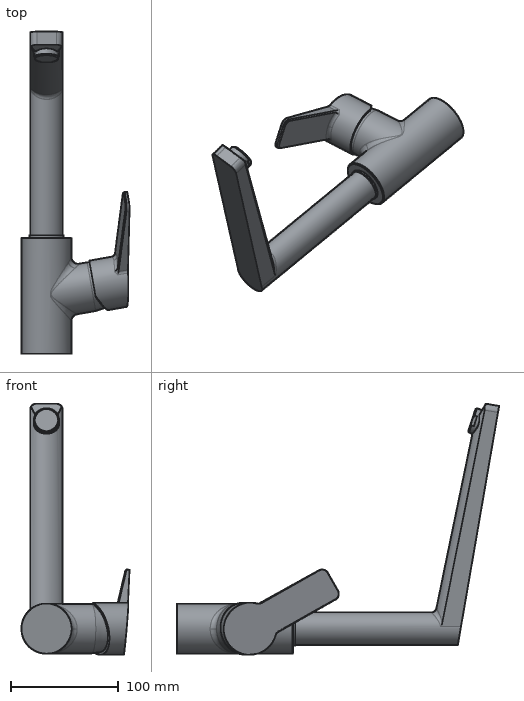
import cadquery as cq
import math

body_radius = 23.3
body_length = 107.8
body_edge_chamfer = 1.0

tube_radius = 15.2
arm_side_inset = 0.15
collar_radius = 15.8
collar_length = 2.0
arm_lean = 9.8
arm_tip_y = 298.7
arm_tip_z = 206.5
arm_side_base = 18.2
arm_side_tip = 12.5
crown_base = 8.5
crown_tip = 7.0
arm_corner_radius = 6.0
crown_bevel_slope = 1.7
bend_fillet = 4.5
arm_half_width = tube_radius - arm_side_inset

outlet_y = 273.3
outlet_z = 193.3
outlet_tilt = 18.0
outlet_radius = 12.0
outlet_length = 13.5
outlet_chamfer = 1.2
flat_height = 9.5
flat_length = 3.5

neck_y = 55.0
mixer_tilt = 10.0
neck_radius = 23.0
neck_fillet = 6.0
neck_end = 42.0
cap_start = 44.5
cap_end = 75.0
cap_radius = 24.2
rim_slope = 22.5
rim_hinge = 2.5
core_tip_radius = 20.5
core_end = 59.7

lever_roll = 30.0
cap_face_tilt = 10.0
lever_reach = 88.0
lever_width = 31.0
lever_tip_thickness = 3.5
lever_root_thickness = 11.5
lever_corner_radius = 6.0
lever_edge_chamfer = 1.2
lever_fillet = 3.5


def cylinder_along_y(radius, y_start, y_end):
    return cq.Workplane("XZ", origin=(0, y_start, 0)).circle(radius).extrude(y_start - y_end)


def make_body():
    return cylinder_along_y(body_radius, 0, body_length).faces(">Y").chamfer(body_edge_chamfer)


def arm_section(back_y, side_depth, crown_height):
    """Points of a section: the back edge, one front corner, the crown's midpoint, the other corner."""
    front_y = back_y - side_depth
    return (
        (arm_half_width, back_y),
        (-arm_half_width, back_y),
        (-arm_half_width, front_y),
        (0, front_y - crown_height),
        (arm_half_width, front_y),
    )


def make_spout():
    lean = math.tan(math.radians(arm_lean))
    overshoot = 6.0
    back_base_y = arm_tip_y - arm_tip_z * lean
    loft_height = arm_tip_z + overshoot

    tube = cylinder_along_y(tube_radius, body_length, arm_tip_y)
    back_trim = (
        cq.Workplane("YZ")
        .moveTo(back_base_y, 0)
        .lineTo(back_base_y - body_radius * lean, -body_radius)
        .lineTo(arm_tip_y + overshoot, -body_radius)
        .lineTo(arm_tip_y + overshoot, body_radius)
        .lineTo(back_base_y + body_radius * lean, body_radius)
        .close()
        .extrude(body_radius, both=True)
    )
    tube = tube.cut(back_trim)

    base = arm_section(back_base_y, arm_side_base, crown_base)
    tip = arm_section(back_base_y + loft_height * lean, arm_side_tip, crown_tip)
    arm = cq.Workplane("XY").polyline(base[:3]).threePointArc(base[3], base[4]).close()
    arm = arm.workplane(offset=loft_height)
    arm = arm.polyline(tip[:3]).threePointArc(tip[3], tip[4]).close().loft(ruled=True)

    front_slope = lean + (arm_side_base - arm_side_tip) / loft_height
    tip_edge_y = (back_base_y - arm_side_base + front_slope * (arm_tip_z + arm_tip_y * lean)) / (
        1 + front_slope * lean
    )
    tip_edge_z = arm_tip_z + (arm_tip_y - tip_edge_y) * lean
    trim_front_y = arm_tip_y - 3 * arm_side_base
    trim_top_z = loft_height + 3 * overshoot
    tip_trim = (
        cq.Workplane("YZ")
        .moveTo(arm_tip_y + overshoot, arm_tip_z - overshoot * lean)
        .lineTo(trim_front_y, arm_tip_z + (arm_tip_y - trim_front_y) * lean)
        .lineTo(trim_front_y, trim_top_z)
        .lineTo(arm_tip_y + overshoot, trim_top_z)
        .close()
        .extrude(body_radius, both=True)
    )
    arm = arm.cut(tip_trim)
    corners = cq.selectors.BoxSelector(
        (-body_radius, tip_edge_y, arm_tip_z), (body_radius, arm_tip_y, tip_edge_z)
    )
    arm = arm.edges(corners).edges("<X or >X").fillet(arm_corner_radius)

    bevel_end_y = tip_edge_y - 2 * crown_tip
    bevel_end_z = tip_edge_z - 2 * crown_tip * crown_bevel_slope
    bevel = (
        cq.Workplane("YZ")
        .moveTo(tip_edge_y, tip_edge_z)
        .lineTo(bevel_end_y, bevel_end_z)
        .lineTo(bevel_end_y, loft_height)
        .lineTo(tip_edge_y, loft_height)
        .close()
        .extrude(body_radius, both=True)
    )
    arm = arm.cut(bevel)

    spout = tube.union(arm)
    bend_back_y = back_base_y - arm_side_tip
    bend_front_y = back_base_y - arm_side_base - 2 * crown_base
    bend = cq.selectors.BoxSelector(
        (-tube_radius, bend_front_y, 0.1 * tube_radius), (tube_radius, bend_back_y, 1.1 * tube_radius)
    )
    spout = spout.edges(bend).fillet(bend_fillet)
    return spout.union(cylinder_along_y(collar_radius, body_length, body_length + collar_length))


def make_outlet():
    tilt = math.radians(outlet_tilt)
    face = cq.Plane(
        origin=(0, outlet_y, outlet_z),
        xDir=(1, 0, 0),
        normal=(0, -math.cos(tilt), math.sin(tilt)),
    )
    nozzle = cq.Workplane(face).circle(outlet_radius).extrude(-outlet_length)
    nozzle = nozzle.faces("<Y").chamfer(outlet_chamfer)
    flat_x = math.sqrt(outlet_radius**2 - (flat_height / 2) ** 2)
    for side in (-1, 1):
        flat = (
            cq.Workplane(face)
            .center(side * (flat_x + outlet_radius / 2), 0)
            .rect(outlet_radius, flat_height)
            .extrude(-flat_length)
        )
        nozzle = nozzle.cut(flat)
    return nozzle


def mixer_to_part(shape):
    """Place a mixer shape: its local X is the mixer axis, local Y points to the lever."""
    return (
        shape.rotate((0, 0, 0), (1, 0, 0), lever_roll)
        .rotate((0, 0, 0), (0, 0, 1), mixer_tilt)
        .translate((0, neck_y, 0))
    )


def make_neck():
    neck = cq.Workplane("YZ").circle(neck_radius).extrude(neck_end)
    return mixer_to_part(neck)


def make_cap():
    core = cq.Workplane(
        cq.Solid.makeCone(
            neck_radius,
            core_tip_radius,
            core_end - neck_end,
            cq.Vector(neck_end, 0, 0),
            cq.Vector(1, 0, 0),
        )
    )

    edge = 1.1 * cap_radius
    face_shift = edge * math.tan(math.radians(cap_face_tilt))
    rim_cut = (edge + rim_hinge) * math.tan(math.radians(rim_slope))
    outline = (
        cq.Workplane("XY")
        .polyline([
            (cap_start, edge),
            (cap_start, rim_hinge),
            (cap_start + rim_cut, -edge),
            (cap_end - face_shift, -edge),
            (cap_end + face_shift, edge),
        ])
        .close()
        .extrude(edge, both=True)
    )
    cap = cq.Workplane("YZ").circle(cap_radius).extrude(cap_end + 2 * face_shift).intersect(outline)

    blade = (
        cq.Workplane("XY")
        .polyline([
            (0, 0),
            (0, lever_reach),
            (-lever_tip_thickness, lever_reach),
            (-lever_root_thickness, 0),
        ])
        .close()
        .extrude(lever_width / 2, both=True)
    )
    blade = blade.faces(">Y").edges("not |Z").fillet(lever_corner_radius)
    blade = blade.faces("<X").edges("not <Y").chamfer(lever_edge_chamfer)
    blade = blade.rotate((0, 0, 0), (0, 0, 1), -cap_face_tilt).translate((cap_end, 0, 0))
    cap = cap.union(blade)
    root = cq.selectors.BoxSelector(
        (rim_hinge + cap_start, 0.2 * cap_radius, -cap_radius),
        (cap_end + face_shift, 1.1 * cap_radius, cap_radius),
    )
    cap = cap.edges(root).edges("%ELLIPSE or <Z or >Z").fillet(lever_fillet)
    return mixer_to_part(core.union(cap))


body = make_body().union(make_neck())
joint = cq.selectors.BoxSelector((0, 0, -body_radius), (2 * body_radius, body_length, body_radius))
body = body.edges(joint).edges("%BSPLINE").fillet(neck_fillet)
spout = make_spout().union(make_outlet())
result = body.union(spout).union(make_cap())